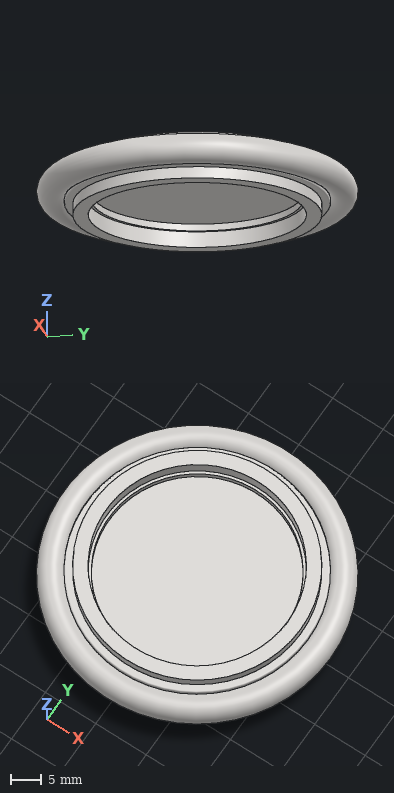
import cadquery as cq

outer_radius = 26.5
cord_radius = 2.5
cord_centre_radius = outer_radius - cord_radius

ring_height = 8.0
ring_radius = 20.5
bore_radius = 17.95
flange_radius = 21.95
flange_thickness = 4.15
flange_edge_fillet = 0.25

step_radius = 17.45
step_thickness = 2.65
web_thickness = 0.3


def centred_disc(radius, thickness):
    """Disc on the Z axis, centred on the plane Z = 0."""
    return cq.Workplane("XY").circle(radius).extrude(thickness / 2, both=True)


def make_o_ring():
    """Round-section seal lying in the plane Z = 0."""
    return cq.Workplane("XY").add(cq.Solid.makeTorus(cord_centre_radius, cord_radius))


def make_centering_ring(seal):
    """Flanged ring with a stepped, webbed bore and a rim hollowed to seat the seal."""
    flange = centred_disc(flange_radius, flange_thickness).edges().fillet(flange_edge_fillet)
    body = centred_disc(ring_radius, ring_height).union(flange)

    for radius, floor_thickness in ((bore_radius, step_thickness), (step_radius, web_thickness)):
        floor = centred_disc(radius, floor_thickness)
        pockets = centred_disc(radius, ring_height).cut(floor)
        body = body.cut(pockets)

    return body.cut(seal).solids()


o_ring = make_o_ring()
centering_ring = make_centering_ring(o_ring)

result = cq.Compound.makeCompound([centering_ring.val(), o_ring.val()])